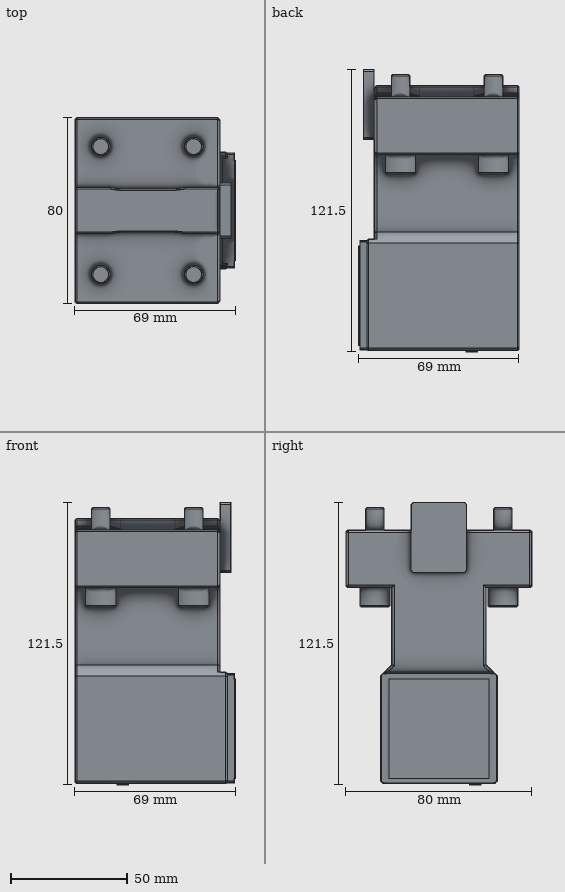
import cadquery as cq

total_height = 121.5
total_length = 69.0
head_width = 80.0
neck_width = 40.6
block_width = 50.3
body_length = 62.4
block_length = 65.5
edge = 0.7
far_edge = 1.1
block_edge = 1.2

block_bottom = 0.5
slope_bottom = 46.8
slope_top = slope_bottom + (block_width - neck_width) / 2
shelf_top = 48.5
head_bottom = 84.8
head_top = 109.6

tongue_top = 114.6
tongue_width = 19.8
tongue_inset = 0.6
waist_length = 23.3
ramp_length = 4.9
tongue_edge = 0.6
undercut_height = 1.8
undercut_depth = tongue_inset
undercut_foot = 0.4

bolt_pitch_x = 40.0
bolt_pitch_y = 55.0
bolt_center_x = 31.0
shank_diameter = 8.0
shank_top = 119.4
bolt_head_diameter = 13.0
bolt_head_bottom = 76.6
bolt_edge = 0.6

stop_width = 24.0
stop_height = 30.3
stop_thickness = 4.6
stop_edge = 1.0

cover_width = 49.6
cover_top = 47.9
cover_bottom = 0.9
cover_end = 68.5
panel_width = 43.0
panel_bottom = 2.8
panel_top = 45.5
seat_start = 63.3
seat_width = 45.5

foot_diameter = 5.0
foot_x = 20.4
foot_y = 15.7


def prism(points, start, length):
    """Extrude a closed (y, z) outline along +X."""
    return cq.Workplane("YZ", origin=(start, 0, 0)).polyline(points).close().extrude(length)


def symmetric(half):
    """Close an outline given on the +Y side by mirroring it to the -Y side."""
    return half + [(-y, z) for y, z in reversed(half)]


def box(x_range, width, z_range):
    """Box between two x and two z values, centred on y = 0."""
    size_x = x_range[1] - x_range[0]
    size_z = z_range[1] - z_range[0]
    center = (x_range[0] + size_x / 2, 0, z_range[0] + size_z / 2)
    return cq.Workplane("XY").box(size_x, width, size_z).translate(center)


def make_body():
    """T-shaped body: head, neck and the wider block with 45 degree shoulders."""
    head_half = head_width / 2
    neck_half = neck_width / 2
    block_half = block_width / 2
    foot_corner = [
        (block_half - block_edge, block_bottom),
        (block_half, block_bottom + block_edge),
        (block_half, slope_bottom),
    ]
    upper = [
        (neck_half, slope_top),
        (neck_half, head_bottom),
        (head_half - edge, head_bottom),
        (head_half, head_bottom + edge),
        (head_half, head_top - edge),
        (head_half - edge, head_top),
    ]
    shelf_edge = [(block_half - (shelf_top - slope_bottom), shelf_top)]
    body = prism(symmetric(foot_corner + upper), 0, body_length)
    body = body.faces("<X").chamfer(edge).faces(">X").chamfer(far_edge)
    block = prism(symmetric(foot_corner + shelf_edge), edge, block_length - edge)
    return body.union(block.faces(">X").chamfer(edge))


def make_tongue():
    """Guide tongue along X with a narrower waist, undercut sides and chamfered top edges."""
    end_half = tongue_width / 2
    waist_half = end_half - tongue_inset
    waist_start = (body_length - waist_length) / 2
    waist_end = waist_start + waist_length
    side = [
        (0, end_half),
        (waist_start - ramp_length, end_half),
        (waist_start, waist_half),
        (waist_end, waist_half),
        (waist_end + ramp_length, end_half),
        (body_length, end_half),
    ]
    outline = side + [(x, -y) for x, y in reversed(side)]
    root = head_top - edge
    tongue = cq.Workplane("XY", origin=(0, 0, root)).polyline(outline).close().extrude(tongue_top - root)
    tongue = tongue.faces("<X").edges("not <Z").chamfer(edge)
    tongue = tongue.faces(">X").edges("not <Z").chamfer(far_edge)
    tongue = tongue.faces(">Z").edges("not |Y").chamfer(tongue_edge)
    for sign in (1, -1):
        undercut = [
            (sign * (end_half - undercut_depth), head_top),
            (sign * (end_half - undercut_depth), head_top + undercut_foot),
            (sign * end_half, head_top + undercut_height),
            (sign * end_half, head_top),
        ]
        tongue = tongue.cut(prism(undercut, 0, body_length))
    return tongue


def make_bolts():
    """Four bolts: heads under the head flange, shanks standing above it."""
    head = cq.Workplane("XY", origin=(0, 0, bolt_head_bottom)).circle(bolt_head_diameter / 2)
    head = head.extrude(head_bottom - bolt_head_bottom).faces("<Z").chamfer(bolt_edge)
    shank = cq.Workplane("XY", origin=(0, 0, head_bottom)).circle(shank_diameter / 2)
    shank = shank.extrude(shank_top - head_bottom).faces(">Z").chamfer(bolt_edge)
    bolt = head.union(shank).val()
    places = cq.Workplane("XY", origin=(bolt_center_x, 0, 0)).rarray(bolt_pitch_x, bolt_pitch_y, 2, 2)
    return places.eachpoint(lambda place: bolt.moved(place))


def make_stop():
    """Upright stop plate with chamfered corners."""
    stop_range = (body_length, body_length + stop_thickness)
    stop = box(stop_range, stop_width, (total_height - stop_height, total_height))
    return stop.edges("|X").chamfer(stop_edge)


def make_cover():
    """Cover plate on the block's +X side with a thin raised panel and a lip in the seat."""
    cover = box((block_length, cover_end), cover_width, (cover_bottom, cover_top))
    cover = cover.edges("|X").chamfer(edge)
    panel = box((cover_end, total_length), panel_width, (panel_bottom, panel_top))
    lip = box((seat_start, cover_end - edge), seat_width, (cover_top - edge, cover_top))
    return cover.union(panel).union(lip)


def make_foot():
    """Round foot reaching slightly below the block."""
    return cq.Workplane("XY").center(foot_x, foot_y).circle(foot_diameter / 2).extrude(2 * block_bottom)


seat = box((seat_start, block_length), seat_width, (cover_top, shelf_top))

result = make_body().cut(seat)
for piece in (make_tongue(), make_bolts(), make_stop(), make_cover(), make_foot()):
    result = result.union(piece)